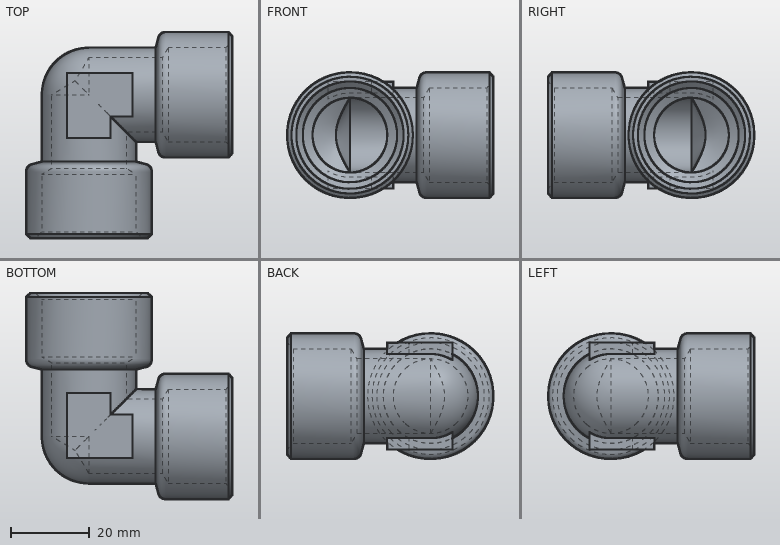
import cadquery as cq
import math

overall_length = 52.5
collar_diameter = 32.0
collar_radius = collar_diameter / 2
branch_length = overall_length - collar_radius

neck_diameter = 24.1
neck_radius = neck_diameter / 2
collar_length = 19.55
shoulder_slope = math.radians(15)
shoulder_round = 2.0
end_chamfer_length = 1.05
end_face_radius = 14.85

bore_diameter = 19.0
bore_radius = bore_diameter / 2
socket_diameter = 24.0
socket_radius = socket_diameter / 2
socket_depth = 16.3
mouth_radius = 13.65
mouth_chamfer_length = mouth_radius - socket_radius
drill_half_angle = math.radians(59)

pad_inner = 5.5
pad_outer = 11.0
pad_height = 13.6


def on_both_branches(profile):
    """Revolve an (axial, radial) profile about +X and copy it to -Y."""
    branch = profile.revolve(360, (0, 0, 0), (1, 0, 0))
    return branch.union(branch.rotate((0, 0, 0), (0, 0, 1), -90))


def outside():
    """Necks and collars joined by a spherical elbow corner."""
    collar_start = branch_length - collar_length
    round_center_radius = collar_radius - shoulder_round
    shoulder_radius = round_center_radius + shoulder_round * math.sin(shoulder_slope)
    shoulder_end = collar_start + (shoulder_radius - neck_radius) * math.tan(shoulder_slope)
    round_end = shoulder_end + shoulder_round * math.cos(shoulder_slope)
    mid_angle = (shoulder_slope + math.pi / 2) / 2
    round_mid = (
        round_end - shoulder_round * math.cos(mid_angle),
        round_center_radius + shoulder_round * math.sin(mid_angle),
    )
    profile = (
        cq.Workplane("XY")
        .moveTo(0, 0)
        .lineTo(0, neck_radius)
        .lineTo(collar_start, neck_radius)
        .lineTo(shoulder_end, shoulder_radius)
        .threePointArc(round_mid, (round_end, collar_radius))
        .lineTo(branch_length - end_chamfer_length, collar_radius)
        .lineTo(branch_length, end_face_radius)
        .lineTo(branch_length, 0)
        .close()
    )
    return on_both_branches(profile).union(cq.Workplane("XY").sphere(neck_radius))


def pads():
    """One L-shaped prism whose ends form the upper and lower flats."""
    return (
        cq.Workplane("XY")
        .workplane(offset=-pad_height)
        .polyline([
            (-pad_inner, pad_inner),
            (pad_outer, pad_inner),
            (pad_outer, -pad_inner),
            (pad_inner, -pad_inner),
            (pad_inner, -pad_outer),
            (-pad_inner, -pad_outer),
        ])
        .close()
        .extrude(2 * pad_height)
    )


def passage():
    """Stepped, drill-pointed bores that meet at the elbow."""
    socket_end = branch_length - socket_depth
    step_start = socket_end - (socket_radius - bore_radius) / math.tan(drill_half_angle)
    drill_tip = -bore_radius / math.tan(drill_half_angle)
    profile = (
        cq.Workplane("XY")
        .moveTo(drill_tip, 0)
        .lineTo(0, bore_radius)
        .lineTo(step_start, bore_radius)
        .lineTo(socket_end, socket_radius)
        .lineTo(branch_length - mouth_chamfer_length, socket_radius)
        .lineTo(branch_length, mouth_radius)
        .lineTo(branch_length, 0)
        .close()
    )
    return on_both_branches(profile)


result = outside().union(pads()).cut(passage())